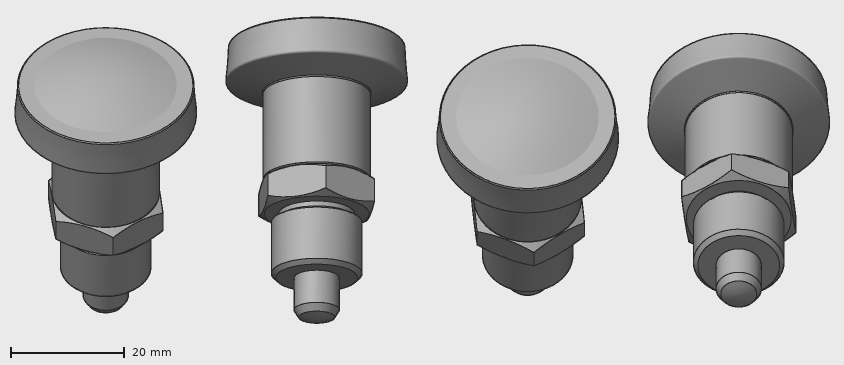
import cadquery as cq
import math

total_height = 53.6

pin_radius = 8.0 / 2
pin_tip_radius = 3.15
pin_dome_height = 0.7
pin_bevel_top = 2.05

shank_radius = 16.0 / 2
shank_bottom = 8.05
shank_chamfer = 0.8
shank_top = 18.4
undercut_radius = 13.4 / 2
undercut_bottom = 19.1

hex_flats = 19.0
hex_bottom = 20.0
hex_top = 26.1
hex_bevel_radius = 9.2
hex_bevel_angle = 30.0

sleeve_radius = hex_flats / 2
sleeve_edge = 0.2
sleeve_top = 42.25

knob_radius = 32.0 / 2
knob_bottom = 42.5
knob_bottom_radius = 9.6
knob_edge_round = 0.45
knob_edge_sweep = 73.0
knob_edge_top = 44.8
knob_flank_middle_radius = 15.7
knob_top_radius = 15.55
knob_top = 51.25
knob_top_edge = 0.2
dome_radius = 25.1 / 2


def revolve_about_axis(profile):
    """Close a radius-height profile and turn it around the Z axis."""
    return profile.close().revolve(360, (0, 0, 0), (0, 1, 0))


def dome_arc_middle(edge_radius, edge_z, apex_z):
    """Point halfway along the spherical arc from a dome's edge to its apex."""
    rise = apex_z - edge_z
    sphere_radius = (edge_radius**2 + rise**2) / (2 * abs(rise))
    half_angle = math.asin(edge_radius / sphere_radius) / 2
    drop = sphere_radius * (1 - math.cos(half_angle))
    return sphere_radius * math.sin(half_angle), apex_z - math.copysign(drop, rise)


def knob_edge_point(angle):
    """Point on the rounded lower knob edge, in degrees below its widest point."""
    turn = math.radians(angle)
    return (
        knob_radius - knob_edge_round * (1 - math.cos(turn)),
        knob_edge_top - knob_edge_round * math.sin(turn),
    )


def make_pin_and_shank():
    profile = (
        cq.Workplane("XZ")
        .moveTo(0, 0)
        .threePointArc(
            dome_arc_middle(pin_tip_radius, pin_dome_height, 0),
            (pin_tip_radius, pin_dome_height),
        )
        .lineTo(pin_radius, pin_bevel_top)
        .lineTo(pin_radius, shank_bottom)
        .lineTo(shank_radius - shank_chamfer, shank_bottom)
        .lineTo(shank_radius, shank_bottom + shank_chamfer)
        .lineTo(shank_radius, shank_top)
        .lineTo(undercut_radius, undercut_bottom)
        .lineTo(undercut_radius, hex_bottom)
        .lineTo(0, hex_bottom)
    )
    return revolve_about_axis(profile)


def make_hexagon():
    corner_radius = hex_flats / 2 / math.cos(math.radians(30))
    prism = (
        cq.Workplane("XY", origin=(0, 0, hex_bottom))
        .polygon(6, 2 * corner_radius)
        .extrude(hex_top - hex_bottom)
    )
    cone_radius = corner_radius + 0.55
    bevel_height = (cone_radius - hex_bevel_radius) * math.tan(math.radians(hex_bevel_angle))
    bevel_profile = (
        cq.Workplane("XZ")
        .moveTo(0, hex_bottom)
        .lineTo(hex_bevel_radius, hex_bottom)
        .lineTo(cone_radius, hex_bottom + bevel_height)
        .lineTo(cone_radius, hex_top - bevel_height)
        .lineTo(hex_bevel_radius, hex_top)
        .lineTo(0, hex_top)
    )
    return prism.intersect(revolve_about_axis(bevel_profile))


def make_sleeve_and_knob():
    flank_top = knob_top - knob_top_edge
    flank_middle = (knob_edge_top + flank_top) / 2
    profile = (
        cq.Workplane("XZ")
        .moveTo(0, hex_top)
        .lineTo(sleeve_radius - sleeve_edge, hex_top)
        .lineTo(sleeve_radius, hex_top + sleeve_edge)
        .lineTo(sleeve_radius, sleeve_top)
        .lineTo(knob_bottom_radius, knob_bottom)
        .lineTo(*knob_edge_point(knob_edge_sweep))
        .threePointArc(
            knob_edge_point(knob_edge_sweep / 2),
            (knob_radius, knob_edge_top),
        )
        .threePointArc(
            (knob_flank_middle_radius, flank_middle),
            (knob_top_radius, flank_top),
        )
        .lineTo(knob_top_radius - knob_top_edge, knob_top)
        .lineTo(dome_radius, knob_top)
        .threePointArc(
            dome_arc_middle(dome_radius, knob_top, total_height),
            (0, total_height),
        )
    )
    return revolve_about_axis(profile)


result = make_pin_and_shank().union(make_hexagon()).union(make_sleeve_and_knob())